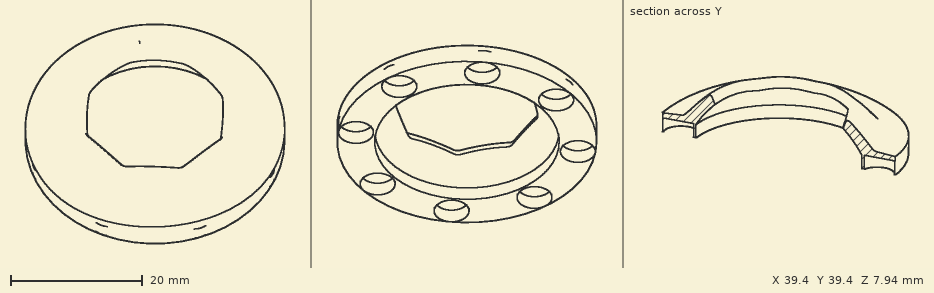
import cadquery as cq
import math

outer_radius = 19.7
bore_radius = 14.0
bore_height = 2.2

rim_root_radius = 15.0
rim_edge_height = 3.1
rim_cone_rise = 0.3
hump_angle = 300.0
hump_height = 1.2
hump_half_width = 70.0
dip_angle = 218.0
dip_depth = 0.2
dip_half_width = 60.0
rim_overhang = 1.0
rim_step_angle = 15

dome_foot = (15.9, 3.5)
dome_middle = (13.75, 5.8)
dome_crest = (11.1, 8.1)
dome_outer_limit = 16.8
dome_inner_limit = 9.0
dome_trim_margin = 0.25
dome_foot_lift = 0.85
dome_radius_steps = 8
dome_angle_steps = 48
dome_seam_angle = hump_angle - 180.0
dome_root_fillet = 1.0
surface_tolerance = 0.002

underside_middle = (12.4, 4.4)
underside_end = (9.0, 7.5)

side_count = 8
opening_rotation = -2.8
opening_apothem = 10.1
opening_base_height = 6.0
opening_flare = 22.0
opening_corner_radius = 1.4
opening_lip_fillet = 0.5

magnet_diameter = 5.3
magnet_depth = 2.25
magnet_outer_wall = 0.05

clearance_height = 12.0


def bump(angle, centre, half_width):
    """Raised cosine that is 1 at centre and 0 beyond half_width degrees."""
    offset = (angle - centre + 180.0) % 360.0 - 180.0
    if abs(offset) >= half_width:
        return 0.0
    return 0.5 * (1.0 + math.cos(math.pi * offset / half_width))


def ring_point(angle, radius, height):
    turn = math.radians(angle)
    return cq.Vector(radius * math.cos(turn), radius * math.sin(turn), height)


def rim_height(angle, radius):
    """Cone height plus the hump, on which the cone levels out, less the dip in the outer edge."""
    inward = (outer_radius - radius) / (outer_radius - rim_root_radius)
    hump_share = bump(angle, hump_angle, hump_half_width)
    cone = rim_cone_rise * inward * (1.0 - hump_share)
    dip = dip_depth * (1.0 - inward) * bump(angle, dip_angle, dip_half_width)
    return rim_edge_height + cone + hump_height * hump_share - dip


def rim_curve(radius):
    points = []
    for angle in range(0, 360, rim_step_angle):
        points.append(ring_point(angle, radius, rim_height(angle, radius)))
    return cq.Edge.makeSpline(points, periodic=True)


def column_below(face):
    """Solid between a top surface and a level well below the base."""
    return cq.Workplane(obj=cq.Solid.extrudeLinear(face, cq.Vector(0, 0, -clearance_height)))


def base_ring():
    top = cq.Face.makeRuledSurface(
        rim_curve(outer_radius + rim_overhang),
        rim_curve(bore_radius - rim_overhang),
    )
    envelope = cq.Workplane().circle(outer_radius).circle(bore_radius).extrude(clearance_height)
    return envelope.intersect(column_below(top))


def dome_height(angle, radius):
    """Parabola through the three section points, plus the lift that fades out at the crest."""
    r0, z0 = dome_foot
    r1, z1 = dome_middle
    r2, z2 = dome_crest
    slope = (z1 - z0) / (r1 - r0)
    curvature = ((z2 - z1) / (r2 - r1) - slope) / (r2 - r0)
    section = z0 + slope * (radius - r0) + curvature * (radius - r0) * (radius - r1)
    fade = max(0.0, (radius - r2) / (r0 - r2))
    return section + dome_foot_lift * fade * bump(angle, hump_angle, hump_half_width)


def dome():
    grid = []
    for i in range(dome_angle_steps + 1):
        angle = dome_seam_angle + 360.0 * i / dome_angle_steps
        row = []
        for j in range(dome_radius_steps + 1):
            radius = dome_outer_limit + (dome_inner_limit - dome_outer_limit) * j / dome_radius_steps
            row.append(ring_point(angle, radius, dome_height(angle, radius)))
        grid.append(row)
    top = cq.Face.makeSplineApprox(grid, tol=surface_tolerance)
    envelope = (
        cq.Workplane()
        .circle(dome_outer_limit - dome_trim_margin)
        .circle(dome_inner_limit + dome_trim_margin)
        .extrude(clearance_height)
    )
    return envelope.intersect(column_below(top))


def cavity():
    """Bore and the domed hollow above it."""
    return (
        cq.Workplane("XZ")
        .lineTo(bore_radius, 0)
        .lineTo(bore_radius, bore_height)
        .threePointArc(underside_middle, underside_end)
        .lineTo(0, underside_end[1])
        .close()
        .revolve(360, (0, 0, 0), (0, 1, 0))
    )


def rounded_octagon(height):
    """Section of the flared opening at a level."""
    rise = height - opening_base_height
    apothem = opening_apothem + rise * math.tan(math.radians(opening_flare))
    corner = apothem / math.cos(math.pi / side_count)
    sketch = cq.Sketch().regularPolygon(corner, side_count).vertices().fillet(opening_corner_radius)
    return sketch.moved(cq.Location(cq.Vector(0, 0, height)))


def opening():
    return (
        cq.Workplane()
        .placeSketch(rounded_octagon(bore_height), rounded_octagon(clearance_height))
        .loft()
        .rotate((0, 0, 0), (0, 0, 1), opening_rotation)
    )


def magnet_pockets():
    """Blind round pockets, one under each corner of the opening."""
    pocket_circle = outer_radius - magnet_outer_wall - magnet_diameter / 2
    return (
        cq.Workplane()
        .polarArray(pocket_circle, opening_rotation, 360, side_count)
        .circle(magnet_diameter / 2)
        .extrude(magnet_depth)
    )


def edges_between(body, low, high):
    """Edges lying wholly inside the dome's footprint and between two levels."""
    reach = dome_outer_limit
    low_corner = (-reach, -reach, low)
    high_corner = (reach, reach, high)
    return body.edges(cq.selectors.BoxSelector(low_corner, high_corner, boundingbox=True))


rim_top_limit = rim_edge_height + rim_cone_rise + hump_height

result = base_ring().union(dome())
root_edges = edges_between(result, rim_edge_height, rim_top_limit)
result = root_edges.fillet(dome_root_fillet)
result = result.cut(cavity()).cut(opening())
lip_edges = edges_between(result, underside_end[1], clearance_height)
result = lip_edges.fillet(opening_lip_fillet)
result = result.cut(magnet_pockets())